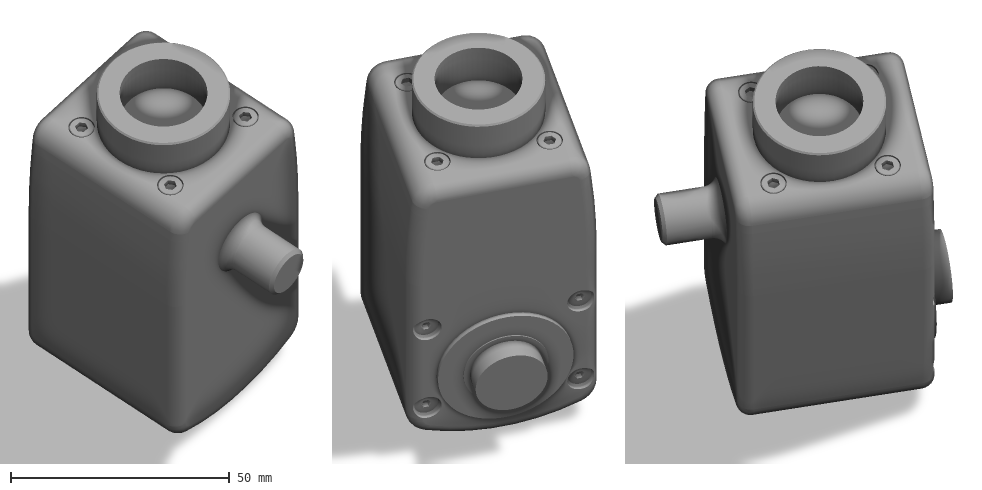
import cadquery as cq
import math

body_length = 45.9
body_width = 45.0
body_height = 81.1
straight_top = 52.0
taper_start = 73.9
side_radius = 200.0
top_edge_radius = 5.0
bottom_radius = 50.05
bottom_corner_radius = 6.0
end_edge_radius = 3.2

collar_diameter = 30.5
collar_bore = 20.0
total_height = 91.5
collar_height = total_height - body_height
collar_chamfer = 0.4

shaft_diameter = 12.0
shaft_height = 56.1
shaft_reach = 14.5
shaft_chamfer = 0.8
neck_length = 3.1
neck_rise = 1.7

button_height = 22
total_length = 66.8
button_reach = total_length - body_length - shaft_reach
button_steps = [(32, 1.2), (20.0, 1.5), (17.0, button_reach)]

screw_offset = 13.3
screw_hole = 6.0
screw_head = 5.5
screw_head_top = 5.2
screw_gap_depth = 0.9
socket_corner_diameter = 3.0
socket_depth = 1.4
socket_cone_depth = 0.7

recess_diameter = 6.6
recess_floor = 5.7
recess_depth = 1.3
recess_socket_diameter = 2.4
recess_side_offset = 18.1
recess_heights = (12.5, 37.5)

half_width = body_width / 2
end_x = body_length / 2


def body():
    """Barrel-sided housing with a bowed bottom and rounded end edges."""
    taper = math.asin((taper_start - straight_top) / side_radius)
    taper_y = half_width - side_radius * (1 - math.cos(taper))
    side_mid_y = half_width - side_radius * (1 - math.cos(taper / 2))
    side_mid_z = straight_top + side_radius * math.sin(taper / 2)
    top_y = taper_y - (body_height - taper_start) * math.tan(taper)

    corner_y = half_width - bottom_corner_radius
    corner_lean = math.asin(corner_y / (bottom_radius - bottom_corner_radius))
    corner_z = bottom_radius - (bottom_radius - bottom_corner_radius) * math.cos(corner_lean)
    corner_end_y = bottom_radius * math.sin(corner_lean)
    corner_end_z = bottom_radius * (1 - math.cos(corner_lean))
    corner_mid_angle = (math.pi / 2 + corner_lean) / 2
    corner_mid_y = corner_y + bottom_corner_radius * math.sin(corner_mid_angle)
    corner_mid_z = corner_z - bottom_corner_radius * math.cos(corner_mid_angle)

    outline = (
        cq.Workplane("YZ", origin=(-end_x, 0, 0))
        .moveTo(-corner_end_y, corner_end_z)
        .threePointArc((0, 0), (corner_end_y, corner_end_z))
        .threePointArc((corner_mid_y, corner_mid_z), (half_width, corner_z))
        .lineTo(half_width, straight_top)
        .threePointArc((side_mid_y, side_mid_z), (taper_y, taper_start))
        .lineTo(top_y, body_height)
        .lineTo(-top_y, body_height)
        .lineTo(-taper_y, taper_start)
        .threePointArc((-side_mid_y, side_mid_z), (-half_width, straight_top))
        .lineTo(-half_width, corner_z)
        .threePointArc((-corner_mid_y, corner_mid_z), (-corner_end_y, corner_end_z))
        .close()
    )
    block = outline.extrude(body_length)
    block = block.faces(">Z").edges("|X").fillet(top_edge_radius)
    return block.faces("<X or >X").edges().fillet(end_edge_radius)


def collar():
    """Ring on the top face; its bore ends at the housing."""
    ring = cq.Workplane("XY", origin=(0, 0, body_height)).circle(collar_diameter / 2).extrude(collar_height)
    ring = ring.faces(">Z").edges().chamfer(collar_chamfer)
    bore = cq.Workplane("XY", origin=(0, 0, body_height)).circle(collar_bore / 2).extrude(collar_height)
    return ring.cut(bore)


def shaft():
    """Round shaft with a concave flared neck, revolved about its own axis."""
    radius = shaft_diameter / 2
    neck_radius = (neck_length**2 + neck_rise**2) / (2 * neck_rise)
    half_sweep = math.asin(neck_length / neck_radius) / 2
    neck_mid = (
        neck_length - neck_radius * math.sin(half_sweep),
        radius + neck_radius * (1 - math.cos(half_sweep)),
    )
    return (
        cq.Workplane("XY", origin=(end_x, 0, shaft_height))
        .moveTo(0, 0)
        .lineTo(0, radius + neck_rise)
        .threePointArc(neck_mid, (neck_length, radius))
        .lineTo(shaft_reach - shaft_chamfer, radius)
        .lineTo(shaft_reach, radius - shaft_chamfer)
        .lineTo(shaft_reach, 0)
        .close()
        .revolve(360, (0, 0), (1, 0))
    )


def button():
    """Concentric discs, each one narrower and standing further out."""
    base = cq.Workplane("YZ", origin=(-end_x, 0, button_height))
    discs = cq.Workplane("YZ")
    for diameter, reach in button_steps:
        discs = discs.add(base.circle(diameter / 2).extrude(-reach))
    return discs.combine()


def top_screw_cut():
    """Ring gap around a screw head, and its hexagon socket with a conical floor."""
    top = cq.Workplane("XY", origin=(0, 0, body_height))
    head = top.circle(screw_head / 2).extrude(-screw_gap_depth)
    head = head.faces(">Z").chamfer((screw_head - screw_head_top) / 2)
    gap = top.circle(screw_hole / 2).extrude(-screw_gap_depth).cut(head)
    socket = top.transformed(rotate=(0, 0, 90)).polygon(6, socket_corner_diameter).extrude(-socket_depth)
    cone = cq.Solid.makeCone(
        socket_corner_diameter * math.cos(math.pi / 6) / 2,
        0,
        socket_cone_depth,
        cq.Vector(0, 0, body_height - socket_depth),
        cq.Vector(0, 0, -1),
    )
    return gap.union(socket.union(cone))


def end_recess_cut():
    """Round screw recess with a sloped rim at its floor and a hexagon socket."""
    end_face = cq.Workplane("YZ", origin=(-end_x, 0, 0))
    recess = end_face.circle(recess_diameter / 2).extrude(recess_depth)
    recess = recess.faces(">X").chamfer((recess_diameter - recess_floor) / 2)
    socket = end_face.polygon(6, recess_socket_diameter).extrude(recess_depth + socket_depth)
    return recess.union(socket)


result = body().union(collar()).union(shaft()).union(button())

for x_side in (-1, 1):
    for y_side in (-1, 1):
        result = result.cut(top_screw_cut().translate((x_side * screw_offset, y_side * screw_offset, 0)))

for y_side in (-1, 1):
    for height in recess_heights:
        result = result.cut(end_recess_cut().translate((0, y_side * recess_side_offset, height)))